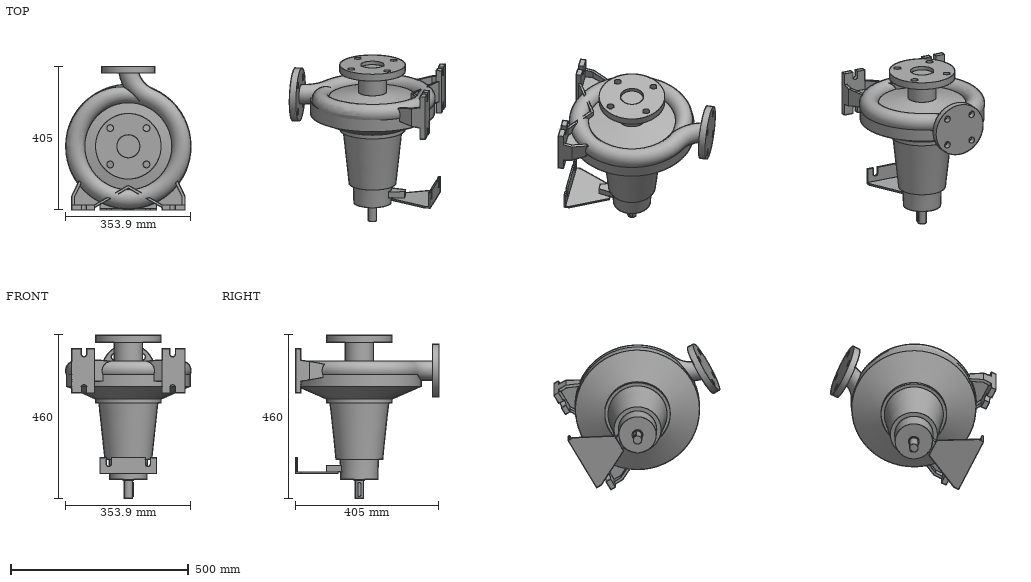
import cadquery as cq
import math


SUCTION_TOP = 100.0
SUCTION_FLANGE_RADIUS = 92.5
SUCTION_FLANGE_THICKNESS = 20.0
SUCTION_BOLT_CIRCLE_RADIUS = 72.5
SUCTION_BOLT_DIAMETER = 19.0
SUCTION_BORE_DIAMETER = 65.0
SUCTION_BORE_DEPTH = 10.0
SUCTION_PIPE_RADIUS = 40.0

DISCHARGE_FACE = 225.0
DISCHARGE_FLANGE_RADIUS = 75.0
DISCHARGE_FLANGE_THICKNESS = 19.0
DISCHARGE_BOLT_CIRCLE_RADIUS = 55.0
DISCHARGE_BOLT_DIAMETER = 18.0

BOLT_COUNT = 4
FIRST_BOLT_ANGLE = 45.0

TUBE_RADIUS = 27.5
TUBE_OUTER_RADIUS = 176.97
TUBE_PATH_RADIUS = TUBE_OUTER_RADIUS - TUBE_RADIUS
TUBE_INNER_RADIUS = TUBE_PATH_RADIUS - TUBE_RADIUS

OUTLET_BEND_RADIUS = (DISCHARGE_FACE**2 - TUBE_PATH_RADIUS**2) / (2 * TUBE_PATH_RADIUS)
OUTLET_START_ANGLE = math.degrees(math.atan2(DISCHARGE_FACE, OUTLET_BEND_RADIUS))

TAPER_START_ANGLE = 180.0
TAPER_END_TUBE_RADIUS = 17.7
TAPER_EXPONENT = 3
TAPER_SECTIONS = 7

CASING_RADIUS = 175.0
COVER_TOP = 20.0
CASING_RIM_TOP = -3.5
CASING_RIM_BOTTOM = -44.0
BACK_FLANGE_TOP = -80.0
BACK_FLANGE_BOTTOM = -91.0
BACK_FLANGE_RADIUS = 92.5
BRACKET_TOP_RADIUS = 83.3
BRACKET_BOTTOM_RADIUS = 66.2
BRACKET_BOTTOM = -250.0
NECK_TOP_RADIUS = 54.3
NECK_BOTTOM_RADIUS = 52.7
NECK_BOTTOM = -306.5
COLLAR_RADIUS = 15.0
COLLAR_BOTTOM = -309.5
SHAFT_RADIUS = 12.0
SHAFT_END = -360.0

KEY_WIDTH = 8.0
KEY_TOP = -315.0
KEY_LENGTH = 40.0
KEY_OUTER_X = 15.0

MOUNT_FACE = -180.0
FOOT_OUTER_X = 160.0
FOOT_WIDTH = 65.0
FOOT_INNER_X = FOOT_OUTER_X - FOOT_WIDTH
FOOT_HEIGHT = 125.0
FOOT_THICKNESS = 15.0
FOOT_BACK = MOUNT_FACE + FOOT_THICKNESS
FOOT_SLOT_X = 125.0
FOOT_SLOT_WIDTH = 15.0
FOOT_SLOT_DEPTH = 23.0

RIB_THICKNESS = 8.0
INNER_RIB_ANGLE = 30.0
OUTER_RIB_ANGLE = 64.0
OUTER_RIB_BEND_Y = -141.0
OUTER_RIB_LENGTH = 65.0
RIB_HALF_HEIGHT = 30.0
RIB_TAPER_SLOPE = 0.172
WEB_THICKNESS = 8.0
WEB_INNER_X = FOOT_INNER_X / 2

SUPPORT_HALF_WIDTH = 80.0
SUPPORT_SHEET = 5.0
SUPPORT_BOTTOM = -290.0
SUPPORT_PLATE_TOP = -245.0
SUPPORT_SLOT_X = 55.0
SUPPORT_SLOT_WIDTH = 14.0
SUPPORT_SLOT_DEPTH = 25.0
SUPPORT_TIP_Y = -60.0
SUPPORT_TIP_HALF_WIDTH = 25.0
SUPPORT_SHOULDER_Y = -165.0
BLOCK_TOP = -267.0
BLOCK_FRONT_Y = -93.0
BLOCK_FRONT_HALF_WIDTH = 10.0
BLOCK_ROOT_Y = -40.0
BLOCK_ROOT_HALF_WIDTH = 22.0


def box(x_min, x_max, y_min, y_max, z_min, z_max):
    """Box given by its limits along each axis."""
    size = (x_max - x_min, y_max - y_min, z_max - z_min)
    return cq.Workplane("XY").box(*size, centered=False).translate((x_min, y_min, z_min))


def plan_prism(points, z_min, z_max):
    """Straight-sided plan outline raised from z_min to z_max."""
    return cq.Workplane("XY").workplane(offset=z_min).polyline(points).close().extrude(z_max - z_min)


def mirrored_pair(body):
    """The body together with its mirror image across X = 0."""
    return body.union(body.mirror("YZ"))


def turned_body():
    """Casing, bearing bracket and shaft as one revolved profile."""
    profile = [
        (0, SUCTION_TOP - SUCTION_FLANGE_THICKNESS),
        (SUCTION_PIPE_RADIUS, SUCTION_TOP - SUCTION_FLANGE_THICKNESS),
        (SUCTION_PIPE_RADIUS, COVER_TOP),
        (CASING_RADIUS, CASING_RIM_TOP),
        (CASING_RADIUS, CASING_RIM_BOTTOM),
        (BACK_FLANGE_RADIUS, BACK_FLANGE_TOP),
        (BACK_FLANGE_RADIUS, BACK_FLANGE_BOTTOM),
        (BRACKET_TOP_RADIUS, BACK_FLANGE_BOTTOM),
        (BRACKET_BOTTOM_RADIUS, BRACKET_BOTTOM),
        (NECK_TOP_RADIUS, BRACKET_BOTTOM),
        (NECK_BOTTOM_RADIUS, NECK_BOTTOM),
        (COLLAR_RADIUS, NECK_BOTTOM),
        (COLLAR_RADIUS, COLLAR_BOTTOM),
        (SHAFT_RADIUS, COLLAR_BOTTOM),
        (SHAFT_RADIUS, SHAFT_END),
        (0, SHAFT_END),
    ]
    return cq.Workplane("XZ").polyline(profile).close().revolve(360, (0, 0, 0), (0, 1, 0))


def shaft_key():
    """Round-ended key standing out of the shaft on its +X side."""
    key_middle = KEY_TOP - KEY_LENGTH / 2
    return (
        cq.Workplane("YZ")
        .center(0, key_middle)
        .slot2D(KEY_LENGTH, KEY_WIDTH, 90)
        .extrude(KEY_OUTER_X)
    )


def flange(inner_face, radius, thickness, bolt_circle_radius, bolt_diameter):
    """Round flange on its inner-face workplane, with bolt holes straddling the main axes."""
    disc = inner_face.circle(radius).extrude(thickness)
    bolt_holes = (
        inner_face.polarArray(bolt_circle_radius, FIRST_BOLT_ANGLE, 360, BOLT_COUNT)
        .circle(bolt_diameter / 2)
        .extrude(thickness)
    )
    return disc.cut(bolt_holes)


def suction_flange():
    """Flange on top of the suction pipe, with a shallow bore."""
    inner_face = cq.Workplane("XY", origin=(0, 0, SUCTION_TOP - SUCTION_FLANGE_THICKNESS))
    body = flange(inner_face, SUCTION_FLANGE_RADIUS, SUCTION_FLANGE_THICKNESS,
                  SUCTION_BOLT_CIRCLE_RADIUS, SUCTION_BOLT_DIAMETER)
    return body.faces(">Z").workplane(origin=(0, 0, 0)).hole(SUCTION_BORE_DIAMETER, SUCTION_BORE_DEPTH)


def discharge_flange():
    """Flange at the +Y end of the outlet bend."""
    inner_face = cq.Workplane("ZX", origin=(0, DISCHARGE_FACE - DISCHARGE_FLANGE_THICKNESS, 0))
    return flange(inner_face, DISCHARGE_FLANGE_RADIUS, DISCHARGE_FLANGE_THICKNESS,
                  DISCHARGE_BOLT_CIRCLE_RADIUS, DISCHARGE_BOLT_DIAMETER)


def volute_tube():
    """Constant-size tube running anticlockwise from -X around the casing to the outlet bend."""
    sweep_angle = 360 + OUTLET_START_ANGLE - TAPER_START_ANGLE
    return (
        cq.Workplane("XZ")
        .center(-TUBE_PATH_RADIUS, 0)
        .circle(TUBE_RADIUS)
        .revolve(sweep_angle, (TUBE_PATH_RADIUS, 0, 0), (TUBE_PATH_RADIUS, 1, 0))
    )


def outlet_bend():
    """Reverse bend carrying the tube from the volute to the discharge flange."""
    return (
        cq.Workplane("XZ", origin=(0, DISCHARGE_FACE, 0))
        .circle(TUBE_RADIUS)
        .revolve(OUTLET_START_ANGLE, (OUTLET_BEND_RADIUS, 0, 0), (OUTLET_BEND_RADIUS, 1, 0))
    )


def tapered_tube():
    """Narrow beginning of the volute; its inner edge keeps the radius of the constant tube's."""
    sections = []
    for index in range(TAPER_SECTIONS):
        fraction = index / (TAPER_SECTIONS - 1)
        angle = math.radians(TAPER_START_ANGLE + fraction * (OUTLET_START_ANGLE - TAPER_START_ANGLE))
        radius = TUBE_RADIUS - fraction**TAPER_EXPONENT * (TUBE_RADIUS - TAPER_END_TUBE_RADIUS)
        path_radius = TUBE_INNER_RADIUS + radius
        center = cq.Vector(path_radius * math.cos(angle), path_radius * math.sin(angle), 0)
        tangent = cq.Vector(math.sin(angle), -math.cos(angle), 0)
        sections.append(cq.Wire.makeCircle(radius, center, tangent))
    return cq.Workplane(cq.Solid.makeLoft(sections))


def open_slot(x, width, depth, top, thickness):
    """Round-bottomed slot cutter, open at the given top, through a plate on the mount face."""
    radius = width / 2
    arc_z = top - depth + radius
    return (
        cq.Workplane("XZ", origin=(0, MOUNT_FACE, 0))
        .moveTo(x - radius, top)
        .lineTo(x - radius, arc_z)
        .threePointArc((x, top - depth), (x + radius, arc_z))
        .lineTo(x + radius, top)
        .close()
        .extrude(-thickness)
    )


def foot_plate():
    """Upright +X foot plate with an open slot in its top and bottom edges."""
    half_height = FOOT_HEIGHT / 2
    plate = box(FOOT_INNER_X, FOOT_OUTER_X, MOUNT_FACE, FOOT_BACK, -half_height, half_height)
    slot = open_slot(FOOT_SLOT_X, FOOT_SLOT_WIDTH, FOOT_SLOT_DEPTH, half_height, FOOT_THICKNESS)
    return plate.cut(slot).cut(slot.mirror("XY"))


def inner_rib_back_y(x):
    """Y of the inner rib's back side, which slants from the foot plate towards the casing axis."""
    return FOOT_BACK + (FOOT_INNER_X - x) * math.tan(math.radians(INNER_RIB_ANGLE))


def inner_rib_outline():
    """Plan of the rib from the inner edge of the foot plate, through the volute, to X = 0."""
    return [
        (FOOT_INNER_X, inner_rib_back_y(FOOT_INNER_X)),
        (0, inner_rib_back_y(0)),
        (0, inner_rib_back_y(0) - RIB_THICKNESS),
        (FOOT_INNER_X, inner_rib_back_y(FOOT_INNER_X) - RIB_THICKNESS),
    ]


def outer_rib_end(bend_x, bend_y):
    """Far end of an outer rib side that leaves its bend at the rib angle."""
    angle = math.radians(OUTER_RIB_ANGLE)
    return (bend_x - OUTER_RIB_LENGTH * math.cos(angle), bend_y + OUTER_RIB_LENGTH * math.sin(angle))


def outer_rib_outline():
    """Plan of the rib that runs back from the foot plate's outer edge, then bends to the volute."""
    half_bend = math.radians(90 - OUTER_RIB_ANGLE) / 2
    inner_x = FOOT_OUTER_X - RIB_THICKNESS
    inner_bend_y = OUTER_RIB_BEND_Y - RIB_THICKNESS * math.tan(half_bend)
    return [
        (FOOT_OUTER_X, FOOT_BACK),
        (FOOT_OUTER_X, OUTER_RIB_BEND_Y),
        outer_rib_end(FOOT_OUTER_X, OUTER_RIB_BEND_Y),
        outer_rib_end(inner_x, inner_bend_y),
        (inner_x, inner_bend_y),
        (inner_x, FOOT_BACK),
    ]


def rib_envelope():
    """Side outline of the ribs: level along the foot plate, then lower towards the casing axis."""
    axis_half_height = RIB_HALF_HEIGHT + RIB_TAPER_SLOPE * FOOT_BACK
    outline = [
        (MOUNT_FACE, RIB_HALF_HEIGHT),
        (FOOT_BACK, RIB_HALF_HEIGHT),
        (0, axis_half_height),
        (0, -axis_half_height),
        (FOOT_BACK, -RIB_HALF_HEIGHT),
        (MOUNT_FACE, -RIB_HALF_HEIGHT),
    ]
    return cq.Workplane("YZ").polyline(outline).close().extrude(FOOT_OUTER_X)


def foot_ribs():
    """Both ribs of the +X foot."""
    inner_rib = plan_prism(inner_rib_outline(), -RIB_HALF_HEIGHT, RIB_HALF_HEIGHT)
    outer_rib = plan_prism(outer_rib_outline(), -RIB_HALF_HEIGHT, RIB_HALF_HEIGHT)
    return inner_rib.union(outer_rib).intersect(rib_envelope())


def foot_web():
    """Level web between the two ribs of the +X foot, reaching into the volute."""
    outline = [
        (FOOT_INNER_X, FOOT_BACK),
        (WEB_INNER_X, inner_rib_back_y(WEB_INNER_X)),
        outer_rib_end(FOOT_OUTER_X, OUTER_RIB_BEND_Y),
        (FOOT_OUTER_X, OUTER_RIB_BEND_Y),
        (FOOT_OUTER_X, FOOT_BACK),
    ]
    return plan_prism(outline, -WEB_THICKNESS / 2, WEB_THICKNESS / 2)


def casing_feet():
    """Two mirrored feet with their ribs and webs."""
    return mirrored_pair(foot_plate().union(foot_ribs()).union(foot_web()))


def symmetric_prism(half_plan, z_min, z_max):
    """Prism whose plan is the given +X half outline together with its mirror image."""
    other_half = [(-x, y) for x, y in reversed(half_plan)]
    return plan_prism(half_plan + other_half, z_min, z_max)


def rear_support():
    """Bent sheet bracket with a slotted upright, held to the neck by a tapered block."""
    sheet_top = SUPPORT_BOTTOM + SUPPORT_SHEET
    upright = box(-SUPPORT_HALF_WIDTH, SUPPORT_HALF_WIDTH, MOUNT_FACE, MOUNT_FACE + SUPPORT_SHEET,
                  SUPPORT_BOTTOM, SUPPORT_PLATE_TOP)
    slot = open_slot(SUPPORT_SLOT_X, SUPPORT_SLOT_WIDTH, SUPPORT_SLOT_DEPTH,
                     SUPPORT_PLATE_TOP, SUPPORT_SHEET)
    sheet_plan = [
        (SUPPORT_HALF_WIDTH, MOUNT_FACE),
        (SUPPORT_HALF_WIDTH, SUPPORT_SHOULDER_Y),
        (SUPPORT_TIP_HALF_WIDTH, SUPPORT_TIP_Y),
    ]
    block_plan = [
        (BLOCK_FRONT_HALF_WIDTH, BLOCK_FRONT_Y),
        (BLOCK_ROOT_HALF_WIDTH, BLOCK_ROOT_Y),
    ]
    sheet = symmetric_prism(sheet_plan, SUPPORT_BOTTOM, sheet_top)
    block = symmetric_prism(block_plan, sheet_top, BLOCK_TOP)
    return upright.cut(mirrored_pair(slot)).union(sheet).union(block)


result = (
    turned_body()
    .union(shaft_key())
    .union(volute_tube())
    .union(outlet_bend())
    .union(tapered_tube())
    .union(suction_flange())
    .union(discharge_flange())
    .union(casing_feet())
    .union(rear_support())
)